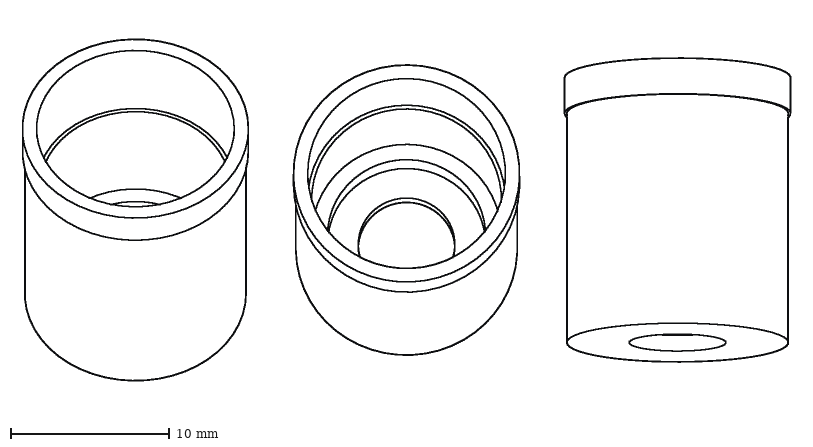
import cadquery as cq

height = 17.0
body_diameter = 14.0
collar_diameter = 14.3
collar_height = 2.3

mouth_diameter = 12.5
mouth_depth = 6.0
main_bore_diameter = 12.0
seat_diameter = 10.0
through_diameter = 6.1
seat_depth = 2.0
floor_thickness = 1.0
main_bore_depth = height - floor_thickness - seat_depth


def make_sleeve():
    """Solid cylinder with a slightly wider collar at the top."""
    body = cq.Workplane("XY").circle(body_diameter / 2).extrude(height)
    collar = (
        cq.Workplane("XY", origin=(0, 0, height - collar_height))
        .circle(collar_diameter / 2)
        .extrude(collar_height)
    )
    return body.union(collar)


def bore_from_top(part, diameter, depth):
    """Cut a coaxial round bore downward from the top face."""
    cutter = (
        cq.Workplane("XY", origin=(0, 0, height))
        .circle(diameter / 2)
        .extrude(-depth)
    )
    return part.cut(cutter)


bore_steps = [
    (mouth_diameter, mouth_depth),
    (main_bore_diameter, main_bore_depth),
    (seat_diameter, height - floor_thickness),
    (through_diameter, height),
]

result = make_sleeve()
for step_diameter, step_depth in bore_steps:
    result = bore_from_top(result, step_diameter, step_depth)